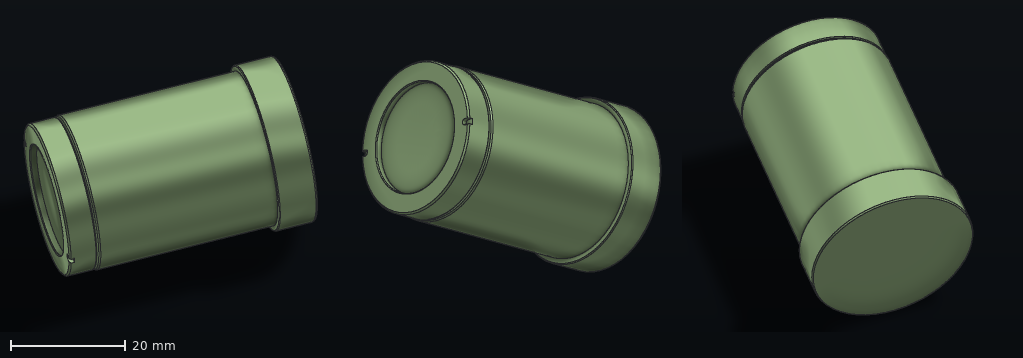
import cadquery as cq

total_length = 45.1

head_radius = 14.992
head_length = 7.05
head_back_chamfer_length = 0.3
head_back_chamfer_radial = 0.2
head_front_chamfer = 0.2

barrel_radius = 14.0
barrel_chamfer_length = 0.3
barrel_chamfer_radial = 0.2

ring_radius = 13.8
ring_length = 5.05
ring_front_chamfer = 0.3
ring_back_chamfer = 0.2
groove_radius = 12.17
groove_width = 0.3

opening_radius = 10.0
opening_chamfer = 0.2
lens_edge_depth = 1.25
lens_bulge = 0.45

notch_width = 1.1
notch_depth = 0.9
notch_inner_radius = 12.2

head_start = total_length - head_length
barrel_start = ring_length + groove_width
lens_crown_depth = lens_edge_depth - lens_bulge


def make_body():
    """Revolve the half profile, drawn as (radius, Y), about the Y axis."""
    half_chord = opening_radius / 2
    sphere_radius = (opening_radius**2 + lens_bulge**2) / (2 * lens_bulge)
    half_chord_drop = sphere_radius - (sphere_radius**2 - half_chord**2) ** 0.5
    profile = (
        cq.Workplane("XY")
        .moveTo(0, lens_crown_depth)
        .threePointArc(
            (half_chord, lens_crown_depth + half_chord_drop),
            (opening_radius, lens_edge_depth),
        )
        .lineTo(opening_radius, opening_chamfer)
        .lineTo(opening_radius + opening_chamfer, 0)
        .lineTo(ring_radius - ring_front_chamfer, 0)
        .lineTo(ring_radius, ring_front_chamfer)
        .lineTo(ring_radius, ring_length - ring_back_chamfer)
        .lineTo(ring_radius - ring_back_chamfer, ring_length)
        .lineTo(groove_radius, ring_length)
        .lineTo(groove_radius, barrel_start)
        .lineTo(barrel_radius - barrel_chamfer_radial, barrel_start)
        .lineTo(barrel_radius, barrel_start + barrel_chamfer_length)
        .lineTo(barrel_radius, head_start)
        .lineTo(head_radius - head_front_chamfer, head_start)
        .lineTo(head_radius, head_start + head_front_chamfer)
        .lineTo(head_radius, total_length - head_back_chamfer_length)
        .lineTo(head_radius - head_back_chamfer_radial, total_length)
        .lineTo(0, total_length)
        .close()
    )
    return profile.revolve(360, (0, 0, 0), (0, 1, 0))


def make_notch(side):
    """Round-ended notch cutter on the +X (side = 1) or -X (side = -1) edge."""
    notch_length = ring_radius + notch_width - notch_inner_radius
    notch_center = notch_inner_radius + notch_length / 2
    return (
        cq.Workplane("XZ")
        .center(side * notch_center, 0)
        .slot2D(notch_length, notch_width)
        .extrude(-notch_depth)
    )


result = make_body()
for side in (-1, 1):
    result = result.cut(make_notch(side))